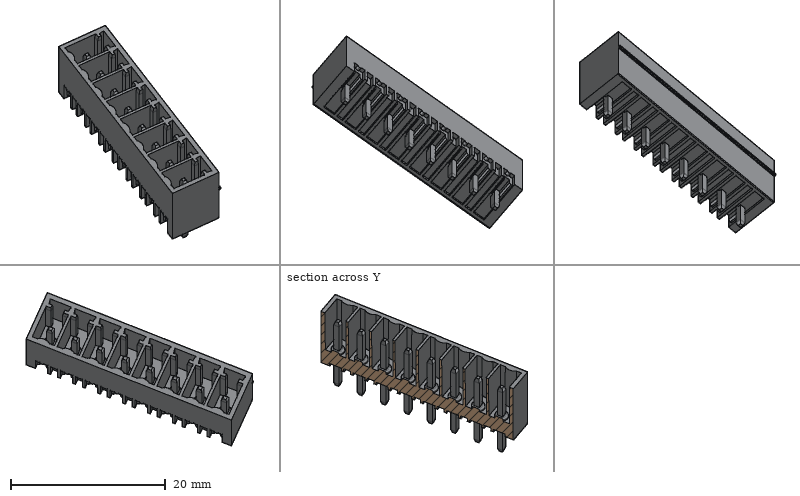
import cadquery as cq

LENGTH = 28.8
DEPTH = 7.0
HEIGHT = 9.2
TOTAL_HEIGHT = 12.6
POLES = 8
FIRST_POLE_X = 2.15
PITCH = (LENGTH - 2 * FIRST_POLE_X) / (POLES - 1)

RIDGE_REACH = 0.25
RIDGE_BOTTOM = 5.62
RIDGE_TOP = 6.0
RIDGE_BEVEL = 0.12

REAR_BEVEL_DEPTH = 0.15
REAR_BEVEL_HEIGHT = 0.1

PIN_WIDTH = 0.8
PIN_TIP_WIDTH = 0.45
PIN_TAPER = 0.55
PIN_Y = 3.0
PIN_BOTTOM = HEIGHT - TOTAL_HEIGHT
PIN_TOP = 7.95
COLLAR_DIAMETER = 1.8
COLLAR_HEIGHT = 0.43
COLLAR_ROUND = 0.23

FLOOR_Z = 2.68
CAVITY_HALF_WIDTH = 1.55
CAVITY_FRONT = 0.6
CAVITY_BACK = 6.35
BACK_HALF_WIDTH = 1.47
NECK_HALF_WIDTH = 1.35
WALL_DRAFT = 0.1
BULGE_HALF_WIDTH = 0.84
BULGE_REACH = 0.3

HOOK_GAP = 1.58
HOOK_FRONT = 5.05
HOOK_BACK = 5.65
HOOK_BEVEL_WIDTH = 0.12
HOOK_BEVEL_DEPTH = 0.17
HOOK_BEVEL_HEIGHT = 0.58

NOTCH_HEIGHT = 2.68
NOTCH_WIDTH = 1.73
NOTCH_DEPTH = 0.5
NOTCH_RIB_RADIUS = 0.3
GAP_WIDTH = 0.95
GAP_DEPTH = 0.55

NOTCH_CHANNEL_HEIGHT = 0.43
GAP_CHANNEL_HEIGHT = 0.52
REAR_WALL = 0.58
CHANNEL_LENGTH = DEPTH - REAR_WALL

SLOT_HEIGHT = 1.65
SLOT_FLARE_HEIGHT = 0.78
SLOT_FLARE_HALF_WIDTH = 0.63


def block(x_center, width, y_start, y_end, z_start, z_end):
    """Box centred on x_center and spanning the given Y and Z ranges."""
    size = (width, y_end - y_start, z_end - z_start)
    box = cq.Workplane("XY").box(*size, centered=(True, False, False))
    return box.translate((x_center, y_start, z_start))


def housing_body():
    """Outer block with the rear ridge and the bevelled lower rear edge."""
    ridge_y = DEPTH + RIDGE_REACH
    profile = [
        (0, 0),
        (DEPTH - REAR_BEVEL_DEPTH, 0),
        (DEPTH, REAR_BEVEL_HEIGHT),
        (DEPTH, RIDGE_BOTTOM),
        (ridge_y - RIDGE_BEVEL, RIDGE_BOTTOM),
        (ridge_y, RIDGE_BOTTOM + RIDGE_BEVEL),
        (ridge_y, RIDGE_TOP),
        (DEPTH, RIDGE_TOP),
        (DEPTH, HEIGHT),
        (0, HEIGHT),
    ]
    return cq.Workplane("YZ").polyline(profile).close().extrude(LENGTH)


def cavity_outline(plane, right, front):
    """Main cavity outline, with a bulge of the front wall reaching into it."""
    return (
        plane.moveTo(-CAVITY_HALF_WIDTH, front)
        .lineTo(-BULGE_HALF_WIDTH, front)
        .threePointArc((0, front + BULGE_REACH), (BULGE_HALF_WIDTH, front))
        .lineTo(right, front)
        .lineTo(right, HOOK_FRONT)
        .lineTo(-CAVITY_HALF_WIDTH, HOOK_FRONT)
        .close()
    )


def cavity():
    """Main cavity (front and +X walls drafted), hook gap and flared rear chamber of one pole."""
    floor = cq.Workplane("XY", origin=(0, 0, FLOOR_Z))
    main = cavity_outline(floor, CAVITY_HALF_WIDTH - WALL_DRAFT, CAVITY_FRONT + WALL_DRAFT)
    main = main.workplane(offset=HEIGHT - FLOOR_Z)
    main = cavity_outline(main, CAVITY_HALF_WIDTH, CAVITY_FRONT).loft(ruled=True)

    gap = block(0, HOOK_GAP, HOOK_FRONT, HOOK_BACK, FLOOR_Z, HEIGHT)
    chamber = (
        floor.moveTo(-NECK_HALF_WIDTH, HOOK_BACK)
        .lineTo(NECK_HALF_WIDTH, HOOK_BACK)
        .lineTo(BACK_HALF_WIDTH, CAVITY_BACK)
        .lineTo(-BACK_HALF_WIDTH, CAVITY_BACK)
        .close()
        .extrude(HEIGHT - FLOOR_Z)
    )
    return main.union(gap).union(chamber).union(hook_bevels())


def hook_bevels():
    """Lead-in wedges cut from the upper edges of both hooks of one pole."""
    bevel_z = HEIGHT - HOOK_BEVEL_HEIGHT
    half_gap = HOOK_GAP / 2
    side = (
        cq.Workplane("XZ", origin=(0, HOOK_FRONT, 0))
        .moveTo(-half_gap, bevel_z)
        .lineTo(half_gap, bevel_z)
        .lineTo(half_gap + HOOK_BEVEL_WIDTH, HEIGHT)
        .lineTo(-half_gap - HOOK_BEVEL_WIDTH, HEIGHT)
        .close()
        .extrude(HOOK_FRONT - HOOK_BACK)
    )
    front = (
        cq.Workplane("YZ", origin=(-CAVITY_HALF_WIDTH, 0, 0))
        .moveTo(HOOK_FRONT, bevel_z)
        .lineTo(HOOK_FRONT + HOOK_BEVEL_DEPTH, HEIGHT)
        .lineTo(HOOK_FRONT, HEIGHT)
        .close()
        .extrude(2 * CAVITY_HALF_WIDTH)
    )
    return side.union(front)


def pin_recess():
    """Front notch, underside channel and flared pin slot of one pole."""
    notch = block(0, NOTCH_WIDTH, 0, NOTCH_DEPTH, 0, NOTCH_HEIGHT)
    rib = (
        cq.Workplane("XZ", origin=(0, 0, NOTCH_HEIGHT))
        .circle(NOTCH_RIB_RADIUS)
        .extrude(-NOTCH_DEPTH)
    )
    channel = block(0, NOTCH_WIDTH, 0, CHANNEL_LENGTH, 0, NOTCH_CHANNEL_HEIGHT)
    half = PIN_WIDTH / 2
    slot = (
        cq.Workplane("XZ")
        .moveTo(-SLOT_FLARE_HALF_WIDTH, NOTCH_CHANNEL_HEIGHT)
        .lineTo(SLOT_FLARE_HALF_WIDTH, NOTCH_CHANNEL_HEIGHT)
        .lineTo(half, SLOT_FLARE_HEIGHT)
        .lineTo(half, SLOT_HEIGHT)
        .lineTo(-half, SLOT_HEIGHT)
        .lineTo(-half, SLOT_FLARE_HEIGHT)
        .close()
        .extrude(-PIN_Y)
    )
    return notch.cut(rib).union(channel).union(slot)


def gap_recess():
    """Narrow front recess and underside channel between two poles."""
    recess = block(0, GAP_WIDTH, 0, GAP_DEPTH, 0, NOTCH_HEIGHT)
    channel = block(0, GAP_WIDTH, 0, CHANNEL_LENGTH, 0, GAP_CHANNEL_HEIGHT)
    return recess.union(channel)


def pin_tip(shoulder_z, end_z):
    """Square taper from the full pin section to its blunt end."""
    return (
        cq.Workplane("XY", origin=(0, PIN_Y, shoulder_z))
        .rect(PIN_WIDTH, PIN_WIDTH)
        .workplane(offset=end_z - shoulder_z)
        .rect(PIN_TIP_WIDTH, PIN_TIP_WIDTH)
        .loft(ruled=True)
    )


def pin():
    """Square pin tapered at both ends, with a rounded collar on the cavity floor."""
    half = PIN_WIDTH / 2
    low_shoulder = PIN_BOTTOM + PIN_TAPER
    high_shoulder = PIN_TOP - PIN_TAPER
    shank = block(0, PIN_WIDTH, PIN_Y - half, PIN_Y + half, low_shoulder, high_shoulder)
    collar = (
        cq.Workplane("XY", origin=(0, PIN_Y, FLOOR_Z))
        .circle(COLLAR_DIAMETER / 2)
        .extrude(COLLAR_HEIGHT)
        .faces(">Z")
        .edges()
        .fillet(COLLAR_ROUND)
    )
    tips = pin_tip(low_shoulder, PIN_BOTTOM).union(pin_tip(high_shoulder, PIN_TOP))
    return shank.union(tips).union(collar)


result = housing_body()
pole_cut = cavity().union(pin_recess())
pole_pin = pin()
pole_gap = gap_recess()

for pole in range(POLES):
    pole_x = FIRST_POLE_X + pole * PITCH
    result = result.cut(pole_cut.translate((pole_x, 0, 0)))
    result = result.union(pole_pin.translate((pole_x, 0, 0)))
    if pole < POLES - 1:
        result = result.cut(pole_gap.translate((pole_x + PITCH / 2, 0, 0)))